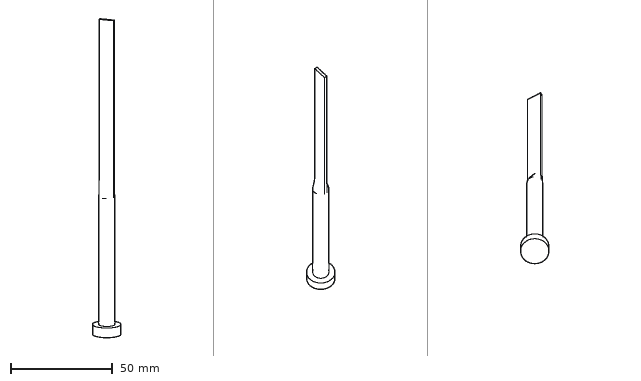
import cadquery as cq
import math

overall_length = 160.0
head_diameter = 14.0
head_height = 5.0
shaft_diameter = 8.0
shaft_top = 70.0
blade_bottom = 80.0
blade_width = 7.5
blade_thickness = 1.5

shaft_radius = shaft_diameter / 2
half_width = blade_width / 2
half_thickness = blade_thickness / 2


def make_head():
    """Round head at the bottom of the pin."""
    return cq.Workplane("XY").circle(head_diameter / 2).extrude(head_height)


def make_shaft():
    """Cylindrical shaft rising from the head."""
    return (
        cq.Workplane("XY")
        .workplane(offset=head_height)
        .circle(shaft_radius)
        .extrude(shaft_top - head_height)
    )


def make_transition():
    """Ruled blend from the round shaft to the flat blade.

    The circle is split into four arcs, one for each side of the blade section;
    the two short arcs are as high in Y as the blade is thick.
    """
    split_x = math.sqrt(shaft_radius**2 - half_thickness**2)
    return (
        cq.Workplane("XY")
        .workplane(offset=shaft_top)
        .moveTo(-split_x, -half_thickness)
        .threePointArc((0, -shaft_radius), (split_x, -half_thickness))
        .threePointArc((shaft_radius, 0), (split_x, half_thickness))
        .threePointArc((0, shaft_radius), (-split_x, half_thickness))
        .threePointArc((-shaft_radius, 0), (-split_x, -half_thickness))
        .close()
        .workplane(offset=blade_bottom - shaft_top)
        .moveTo(-half_width, -half_thickness)
        .lineTo(half_width, -half_thickness)
        .lineTo(half_width, half_thickness)
        .lineTo(-half_width, half_thickness)
        .close()
        .loft(ruled=True, combine=True)
    )


def make_blade():
    """Flat rectangular blade at the top of the pin."""
    return (
        cq.Workplane("XY")
        .workplane(offset=blade_bottom)
        .rect(blade_width, blade_thickness)
        .extrude(overall_length - blade_bottom)
    )


result = make_head().union(make_shaft()).union(make_transition()).union(make_blade())